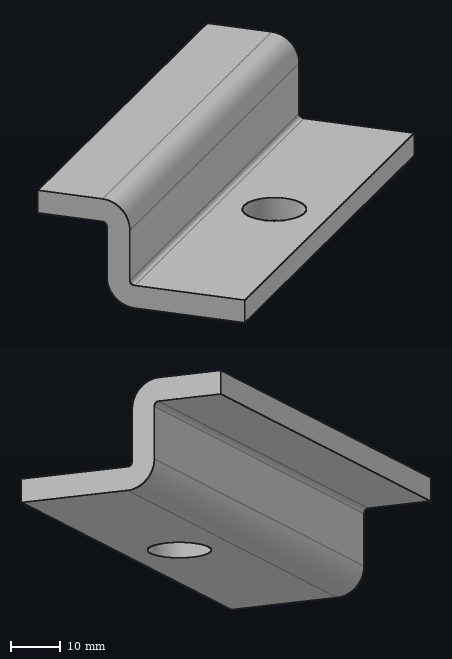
import cadquery as cq

width = 45.0
length = 100.0
height = 23.0

thickness = 5.0
inner_bend_radius = 1.0
outer_bend_radius = inner_bend_radius + thickness

web_left = 15.0
web_right = web_left + thickness

hole_diameter = 13.0
hole_x = 33.0


def bent_sheet():
    """Z profile with sharp corners, extruded along Y, then rounded at the bends."""
    outline = [
        (0, height),
        (web_right, height),
        (web_right, thickness),
        (width, thickness),
        (width, 0),
        (web_left, 0),
        (web_left, height - thickness),
        (0, height - thickness),
    ]
    sheet = cq.Workplane("XZ").polyline(outline).close().extrude(-length)

    def round_bend(body, x, z, radius):
        corner = cq.selectors.NearestToPointSelector((x, length / 2, z))
        return body.edges("|Y").edges(corner).fillet(radius)

    sheet = round_bend(sheet, web_right, height, outer_bend_radius)
    sheet = round_bend(sheet, web_left, height - thickness, inner_bend_radius)
    sheet = round_bend(sheet, web_left, 0, outer_bend_radius)
    return round_bend(sheet, web_right, thickness, inner_bend_radius)


def flange_hole():
    return (
        cq.Workplane("XY")
        .center(hole_x, length / 2)
        .circle(hole_diameter / 2)
        .extrude(thickness)
    )


result = bent_sheet().cut(flange_hole())